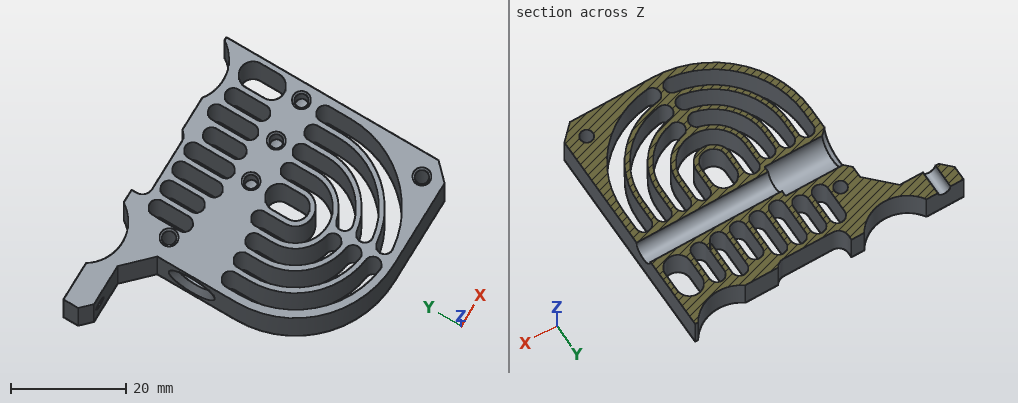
import cadquery as cq
import math


thickness = 12.0
mid_height = thickness / 2
corner_radius = 20.0
right = 20.0
left = -corner_radius
top = 26.0
bottom = -corner_radius
corner_chamfer = 3.0

arm_tip = -35.0
arm_width = 5.0
arm_chamfer = 2.0
arm_brace = 5.0
arm_hole_diameter = 2.5
arm_hole_x = arm_tip + 4.0

scallop_radius = 7.5
scallop_depth = 3.5
scallop_xs = (-21.0, 13.0)
recess_left = -12.0
recess_right = 2.0
recess_depth = 3.0
recess_corner = 2.0
ledge_left = 0.0
ledge_right = scallop_xs[1]
ledge_depth = 2.0

bore_y = 9.0
bore_diameter = 4.5
port_diameter = 6.8
port_depth = 13.0
port_mouth_diameter = 9.3
port_mouth_depth = (port_mouth_diameter - port_diameter) / 2

screw_diameter = 2.5
screw_mouth_diameter = 3.3
screw_mouth_depth = (screw_mouth_diameter - screw_diameter) / 2
through_screws = ((-16.0, 16.0), (16.0, -16.0))
bore_screw_xs = (0.0, 8.5, 17.0)

slot_width = 3.0
wide_slot_width = 5.0
fin = 1.0
slot_radius = slot_width / 2
pitch = slot_width + fin
bore_wall = 1.0
port_wall = 1.1
port_clearance = port_diameter / 2 + port_wall
bore_clearance = bore_diameter / 2 + bore_wall

first_slot_x = -12.5
port_slot_count = 2
slot_tops = [top - depth for depth in (4.0, 4.0, 4.0, 4.0, 5.4, 4.0, 5.0)]
wide_slot_x = 16.5
wide_slot_top = top - 5.0

u_slot_radius = wide_slot_width / 2 + fin + slot_radius
curved_slot_radii = [u_slot_radius + i * pitch for i in (1, 2, 3)]
slot_end_x = fin / 2 + slot_radius


def prism(sketch):
    return sketch.close().extrude(thickness)


def make_body():
    diagonal = corner_radius * math.sqrt(0.5)
    arm_bottom = top - arm_width
    return prism(
        cq.Workplane("XY")
        .moveTo(arm_tip, top)
        .lineTo(arm_tip, arm_bottom + arm_chamfer)
        .lineTo(arm_tip + arm_chamfer, arm_bottom)
        .lineTo(left - arm_brace, arm_bottom)
        .lineTo(left, arm_bottom - arm_brace)
        .lineTo(left, 0)
        .threePointArc((-diagonal, -diagonal), (0, bottom))
        .lineTo(right - corner_chamfer, bottom)
        .lineTo(right, bottom + corner_chamfer)
        .lineTo(right, top)
    )


def block(x_min, x_max, y_min, y_max):
    corner = cq.Workplane("XY", origin=(x_min, y_min, 0))
    return corner.box(x_max - x_min, y_max - y_min, thickness, centered=False)


def make_edge_cutouts():
    """Two pipe scallops, the round-cornered recess and the shallow ledge."""
    recess = block(recess_left, recess_right, top - recess_depth, top + recess_corner)
    cutouts = recess.edges("|Z and <Y").fillet(recess_corner)
    cutouts = cutouts.union(block(ledge_left, ledge_right, top - ledge_depth, top + recess_corner))
    scallop_y = top - scallop_depth + scallop_radius
    for x in scallop_xs:
        centre = cq.Workplane("XY").center(x, scallop_y)
        cutouts = cutouts.union(centre.circle(scallop_radius).extrude(thickness))
    return cutouts


def straight_slot(x, y_min, y_max, width):
    return (
        cq.Workplane("XY")
        .center(x, (y_min + y_max) / 2)
        .slot2D(y_max - y_min, width, 90)
        .extrude(thickness)
    )


def make_upper_slots():
    slots = straight_slot(wide_slot_x, bore_y + bore_clearance, wide_slot_top, wide_slot_width)
    for i, slot_top in enumerate(slot_tops):
        clearance = port_clearance if i < port_slot_count else bore_clearance
        slots = slots.union(straight_slot(first_slot_x + i * pitch, bore_y + clearance, slot_top, slot_width))
    return slots


def curved_slot(mid_radius, side, clearance):
    """Straight leg below the bore, then an arc about the origin; side is -1 or +1."""
    outer = mid_radius + slot_radius
    inner = mid_radius - slot_radius
    leg_top = bore_y - clearance
    leg_shoulder = leg_top - slot_radius
    end_angle = math.asin(slot_end_x / mid_radius)
    middle_angle = (end_angle + math.pi / 2) / 2

    def polar(radius, angle):
        return (side * radius * math.sin(angle), -radius * math.cos(angle))

    mid_end = polar(mid_radius, end_angle)
    cap_tip = (
        mid_end[0] - side * slot_radius * math.cos(end_angle),
        mid_end[1] - slot_radius * math.sin(end_angle),
    )
    return prism(
        cq.Workplane("XY")
        .moveTo(side * outer, leg_shoulder)
        .lineTo(side * outer, 0)
        .threePointArc(polar(outer, middle_angle), polar(outer, end_angle))
        .threePointArc(cap_tip, polar(inner, end_angle))
        .threePointArc(polar(inner, middle_angle), (side * inner, 0))
        .lineTo(side * inner, leg_shoulder)
        .threePointArc((side * mid_radius, leg_top), (side * outer, leg_shoulder))
    )


def u_slot():
    """Innermost curved slot, running unbroken from one leg to the other."""
    outer = u_slot_radius + slot_radius
    inner = u_slot_radius - slot_radius
    leg_top = bore_y - bore_clearance
    leg_shoulder = leg_top - slot_radius
    return prism(
        cq.Workplane("XY")
        .moveTo(-outer, leg_shoulder)
        .lineTo(-outer, 0)
        .threePointArc((0, -outer), (outer, 0))
        .lineTo(outer, leg_shoulder)
        .threePointArc((u_slot_radius, leg_top), (inner, leg_shoulder))
        .lineTo(inner, 0)
        .threePointArc((0, -inner), (-inner, 0))
        .lineTo(-inner, leg_shoulder)
        .threePointArc((-u_slot_radius, leg_top), (-outer, leg_shoulder))
    )


def make_lower_slots():
    slots = straight_slot(0, -wide_slot_width / 2, bore_y - bore_clearance, wide_slot_width)
    slots = slots.union(u_slot())
    for radius in curved_slot_radii:
        slots = slots.union(curved_slot(radius, -1, port_clearance))
        slots = slots.union(curved_slot(radius, 1, bore_clearance))
    return slots


def make_bore():
    """Through bore with a wider, countersunk port on the left face."""
    face = cq.Workplane("YZ", origin=(left, bore_y, mid_height))
    bore = face.circle(bore_diameter / 2).extrude(right - left)
    port = face.circle(port_diameter / 2).extrude(port_depth)
    mouth = cq.Solid.makeCone(
        port_mouth_diameter / 2,
        port_diameter / 2,
        port_mouth_depth,
        cq.Vector(left, bore_y, mid_height),
        cq.Vector(1, 0, 0),
    )
    return bore.union(port).union(cq.Workplane(mouth))


def screw_hole(x, y, depth):
    hole = cq.Workplane("XY", origin=(x, y, thickness)).circle(screw_diameter / 2).extrude(-depth)
    mouth = cq.Solid.makeCone(
        screw_mouth_diameter / 2,
        screw_diameter / 2,
        screw_mouth_depth,
        cq.Vector(x, y, thickness),
        cq.Vector(0, 0, -1),
    )
    return hole.union(cq.Workplane(mouth))


def make_arm_hole():
    face = cq.Workplane("XZ", origin=(arm_hole_x, top, mid_height))
    return face.circle(arm_hole_diameter / 2).extrude(arm_width)


result = make_body().cut(make_edge_cutouts())
result = result.cut(make_upper_slots()).cut(make_lower_slots())
result = result.cut(make_bore()).cut(make_arm_hole())
for hole_x, hole_y in through_screws:
    result = result.cut(screw_hole(hole_x, hole_y, thickness))
for hole_x in bore_screw_xs:
    result = result.cut(screw_hole(hole_x, bore_y, mid_height))